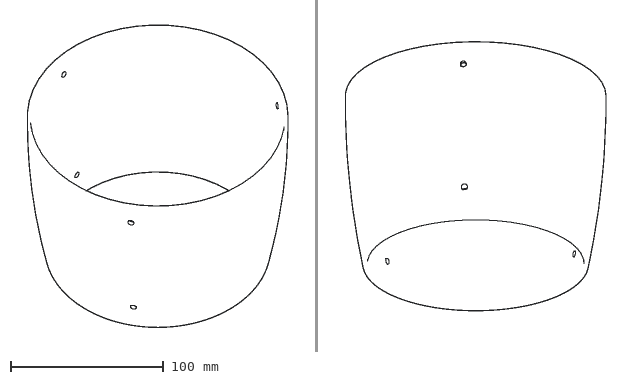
import cadquery as cq
import math

height = 122.0
outer_radius = 85.4

widest_height = 117.8
outer_curve_radius = 606.1

rim_wall = 2.0
rim_base = height - rim_wall / 2
bore_radius = 70.9
flare_curve_radius = 110.8
throat_fillet = 5.0
base_fillet = 1.0

hole_diameter = 4.0
hole_heights = (21.2, 106.0)
hole_count = 3
first_hole_angle = 60.0


def outer_point(z):
    """Point (radius, z) on the outer arc."""
    drop = widest_height - z
    return outer_radius - outer_curve_radius + math.sqrt(outer_curve_radius**2 - drop**2), z


def flare_point(radius):
    """Point (radius, z) on the inner flare, which is vertical where the rim starts."""
    inset = outer_radius - rim_wall - radius
    drop = math.sqrt(flare_curve_radius**2 - (flare_curve_radius - inset)**2)
    return radius, rim_base - drop


def make_shell():
    """Revolved body with a rounded throat, a fully rounded rim and a filleted base."""
    rim_radius = outer_radius - rim_wall
    throat_height = flare_point(bore_radius)[1]
    outer_rim = outer_point(rim_base)
    profile = (
        cq.Workplane("XZ")
        .moveTo(*outer_point(0))
        .threePointArc(outer_point(rim_base / 2), outer_rim)
        .threePointArc(((outer_rim[0] + rim_radius) / 2, height), (rim_radius, rim_base))
        .threePointArc(flare_point((rim_radius + bore_radius) / 2), (bore_radius, throat_height))
        .lineTo(bore_radius, 0)
        .close()
    )
    shell = profile.revolve(360, (0, 0, 0), (0, 1, 0))
    margin = throat_fillet / 2
    throat_zone = cq.selectors.BoxSelector(
        (-outer_radius, -outer_radius, throat_height - margin),
        (outer_radius, outer_radius, throat_height + margin),
        boundingbox=True,
    )
    shell = shell.edges(throat_zone).fillet(throat_fillet)
    return shell.faces("<Z").edges().fillet(base_fillet)


def make_hole(angle, z):
    """Radial drill reaching from the axis out through the wall."""
    drill_length = outer_radius + rim_wall
    drill = cq.Workplane("YZ").center(0, z).circle(hole_diameter / 2).extrude(drill_length)
    return drill.rotate((0, 0, 0), (0, 0, 1), angle)


result = make_shell()
for index in range(hole_count):
    hole_angle = first_hole_angle + index * 360 / hole_count
    for hole_height in hole_heights:
        result = result.cut(make_hole(hole_angle, hole_height))